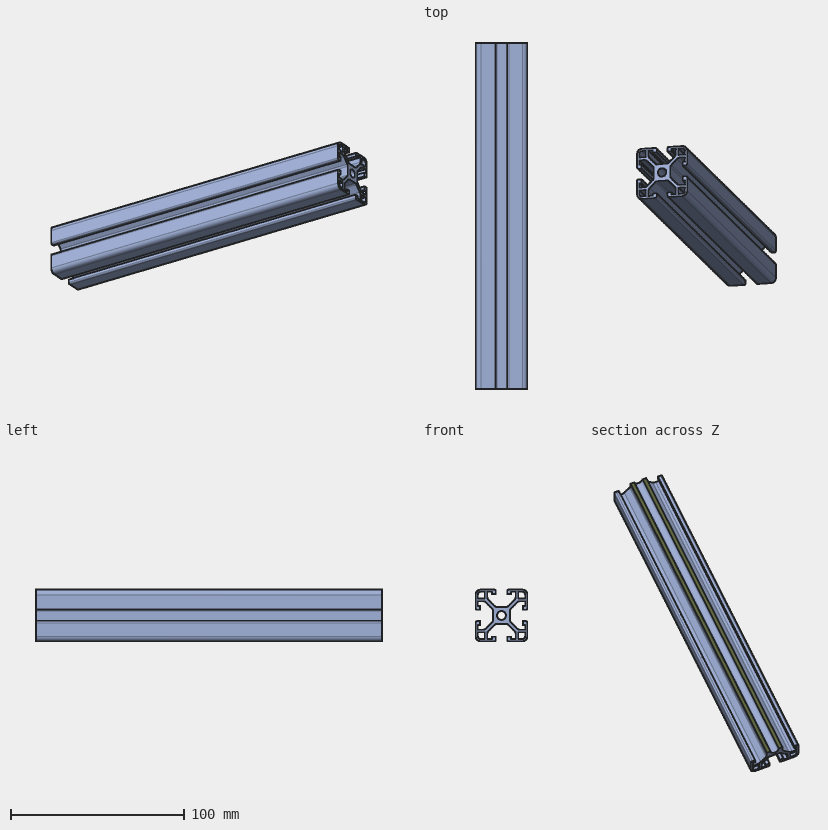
import cadquery as cq
import math

LENGTH = 200.0
SIDE = 30.0
HALF_SIDE = SIDE / 2
CORNER_RADIUS = 3.0
BORE_DIAMETER = 5.0

WALL = 1.5
LIP_HOOK = 1.3
MOUTH_HALF_WIDTH = 3.2
LIP_RADIUS = 1.0
LIP_WIDTH = 2.5

SLOT_HALF_WIDTH = 8.2
CORE_HALF_WIDTH = 5.0
WEB_HALF_THICKNESS = 1.05
SHOULDER_RADIUS = 2.8
FLOOR_RADIUS = 1.5

BEND_ANGLE = math.pi / 4

CAVITY_SIDE = 3.8
CAVITY_CENTER = HALF_SIDE - WALL - CAVITY_SIDE / 2
CAVITY_RADIUS = CORNER_RADIUS - WALL


def section():
    """Sketch plane of the profile, placed so that extruding runs toward -Y, centred on Y = 0."""
    return cq.Workplane("XZ", origin=(0, LENGTH / 2, 0))


def slot():
    """Upper T-slot: narrow mouth with rounded lips, wide undercut, flanks sloping to the core."""
    flank_offset = WEB_HALF_THICKNESS * math.sqrt(2)
    undercut_top = HALF_SIDE - WALL
    lip_bottom = undercut_top - LIP_HOOK
    lip_back = MOUTH_HALF_WIDTH + LIP_WIDTH
    floor_half_width = CORE_HALF_WIDTH - flank_offset

    shoulder_corner = SLOT_HALF_WIDTH + flank_offset
    shoulder_top = shoulder_corner + SHOULDER_RADIUS * math.tan(BEND_ANGLE / 2)
    arc_center_x = SLOT_HALF_WIDTH - SHOULDER_RADIUS

    def shoulder_point(angle):
        return (
            arc_center_x + SHOULDER_RADIUS * math.cos(angle),
            shoulder_top - SHOULDER_RADIUS * math.sin(angle),
        )

    floor_tangent = FLOOR_RADIUS * math.tan(BEND_ANGLE / 2)
    flank_end = floor_tangent * math.sin(BEND_ANGLE)

    half = (
        section()
        .moveTo(0, HALF_SIDE)
        .lineTo(MOUTH_HALF_WIDTH + LIP_RADIUS, HALF_SIDE)
        .radiusArc((MOUTH_HALF_WIDTH, HALF_SIDE - LIP_RADIUS), -LIP_RADIUS)
        .lineTo(MOUTH_HALF_WIDTH, lip_bottom)
        .lineTo(lip_back, lip_bottom)
        .lineTo(lip_back, undercut_top)
        .lineTo(SLOT_HALF_WIDTH, undercut_top)
        .lineTo(SLOT_HALF_WIDTH, shoulder_top)
        .threePointArc(shoulder_point(BEND_ANGLE / 2), shoulder_point(BEND_ANGLE))
        .lineTo(floor_half_width + flank_end, CORE_HALF_WIDTH + flank_end)
        .radiusArc((floor_half_width - floor_tangent, CORE_HALF_WIDTH), FLOOR_RADIUS)
        .lineTo(0, CORE_HALF_WIDTH)
        .close()
        .extrude(LENGTH)
    )
    return half.union(half.mirror("YZ"))


def corner_cavity():
    """Hollow in the upper right corner, rounded only at its outermost edge."""
    return (
        section()
        .center(CAVITY_CENTER, CAVITY_CENTER)
        .rect(CAVITY_SIDE, CAVITY_SIDE)
        .extrude(LENGTH)
        .edges("|Y and >X and >Z")
        .fillet(CAVITY_RADIUS)
    )


result = section().rect(SIDE, SIDE).extrude(LENGTH).edges("|Y").fillet(CORNER_RADIUS)

quarter_cut = slot().union(corner_cavity())
for quarter in range(4):
    result = result.cut(quarter_cut.rotate((0, 0, 0), (0, 1, 0), 90 * quarter))

result = result.cut(section().circle(BORE_DIAMETER / 2).extrude(LENGTH))